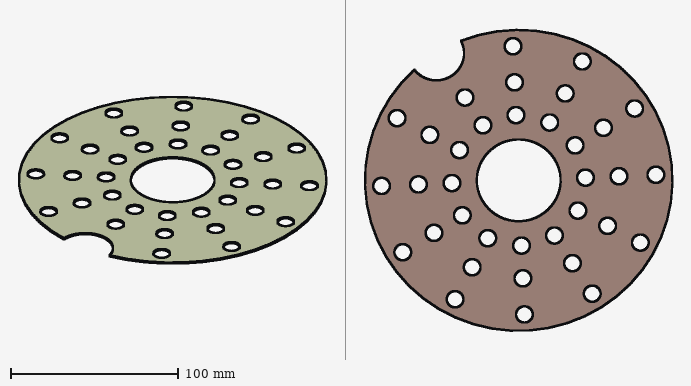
import cadquery as cq

disc_diameter = 184.0
thickness = 1.0
bore_diameter = 50.0

hole_diameter = 10.0
holes_per_ring = 12
ring_radii = (40.0, 60.0, 82.0)

notch_radius = 16.5


def make_disc():
    """Flat disc with a central bore, centred on the origin in Z."""
    return (
        cq.Workplane("XY")
        .workplane(offset=-thickness / 2)
        .circle(disc_diameter / 2)
        .circle(bore_diameter / 2)
        .extrude(thickness)
    )


def cut_hole_ring(plate, ring_radius):
    """Cut one ring of through holes, the first hole lying on +X."""
    return (
        plate.faces(">Z")
        .workplane(origin=(0, 0, 0))
        .polarArray(ring_radius, 0, 360, holes_per_ring)
        .hole(hole_diameter)
    )


def cut_rim_notch(plate):
    """Cut the round notch through the rim."""
    notch = (
        cq.Workplane("XY")
        .center(0, -disc_diameter / 2)
        .circle(notch_radius)
        .extrude(thickness, both=True)
    )
    return plate.cut(notch)


result = make_disc()
for radius in ring_radii:
    result = cut_hole_ring(result, radius)
result = cut_rim_notch(result)